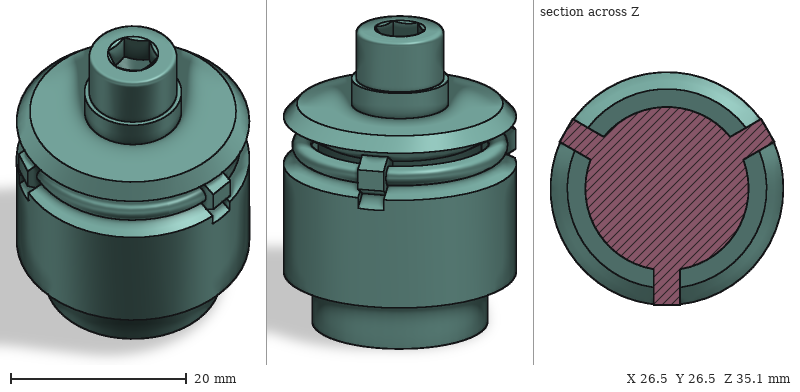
import cadquery as cq
import math

base_top = 6.0
groove_bottom = 20.0
groove_top = 22.25
flange_rim = 24.55
flange_top = 26.1
collar_top = 29.15
head_top = 35.1

base_radius = 10.0
body_diameter = 26.5
body_radius = body_diameter / 2
land_radius = 11.35
flange_top_radius = 11.72
collar_radius = 5.5
head_radius = 5.0
head_fillet = 0.6

slope = math.tan(math.radians(30))
core_radius = body_radius - (flange_rim - groove_top) / slope
body_rim = groove_bottom - (body_radius - land_radius) * slope

ring_height = (groove_bottom + groove_top) / 2
ring_wire_radius = 1.1
ring_outer_radius = 12.25

jaw_angles = [30, 150, 270]
jaw_width = 3.02
jaw_half_height = 1.15
jaw_inner_radius = 7.02
notch_outer_height = 17.62
notch_inner_radius = 10.53
notch_overrun = 0.7

socket_across_flats = 5.0
socket_depth = 3.0
socket_lead_in_angle = 30
socket_point_angle = 30


def turned_body():
    """Revolved outline of base, body, groove, flange, collar and screw head."""
    outline = (
        cq.Workplane("XZ")
        .moveTo(0, 0)
        .lineTo(base_radius, 0)
        .lineTo(base_radius, base_top)
        .lineTo(body_radius, base_top)
        .lineTo(body_radius, body_rim)
        .lineTo(land_radius, groove_bottom)
        .lineTo(core_radius, groove_bottom)
        .lineTo(core_radius, groove_top)
        .lineTo(body_radius, flange_rim)
        .lineTo(flange_top_radius, flange_top)
        .lineTo(collar_radius, flange_top)
        .lineTo(collar_radius, collar_top)
        .lineTo(head_radius, collar_top)
        .lineTo(head_radius, head_top)
        .lineTo(0, head_top)
        .close()
    )
    body = outline.revolve(360, (0, 0, 0), (0, 1, 0))
    return body.faces(">Z").edges().fillet(head_fillet)


def radial_bar(profile, angle):
    """Extrude a (radius, height) profile to the jaw width and turn it about Z."""
    bar = cq.Workplane("XZ").polyline(profile).close().extrude(jaw_width / 2, both=True)
    return bar.rotate((0, 0, 0), (0, 0, 1), angle)


def notch(angle):
    """Slot through the body rim whose floor rises inwards at the groove slope."""
    beyond_body = body_radius + notch_overrun
    floor_drop = notch_overrun * slope
    floor_rise = (body_radius - notch_inner_radius) * slope
    profile = [
        (notch_inner_radius, notch_outer_height + floor_rise),
        (beyond_body, notch_outer_height - floor_drop),
        (beyond_body, ring_height),
        (notch_inner_radius, ring_height),
    ]
    return radial_bar(profile, angle)


def jaw(angle):
    """Wedge with a flat outer face, growing taller inwards until buried in the groove walls."""
    inner_half_height = jaw_half_height + (body_radius - jaw_inner_radius) * slope
    profile = [
        (body_radius, ring_height - jaw_half_height),
        (body_radius, ring_height + jaw_half_height),
        (jaw_inner_radius, ring_height + inner_half_height),
        (jaw_inner_radius, ring_height - inner_half_height),
    ]
    return radial_bar(profile, angle)


def spring_ring():
    """Round-wire ring centred on the part axis."""
    ring_radius = ring_outer_radius - ring_wire_radius
    ring = cq.Solid.makeTorus(ring_radius, ring_wire_radius)
    return cq.Workplane(ring.translate(cq.Vector(0, 0, ring_height)))


def hex_socket():
    """Hexagon hole with a conical lead-in and a conical bottom reaching its corners."""
    corner_radius = socket_across_flats / math.sqrt(3)
    point_height = corner_radius * math.tan(math.radians(socket_point_angle))
    point_bottom = head_top - socket_depth - point_height
    hexagon = (
        cq.Workplane("XY", origin=(0, 0, point_bottom))
        .polygon(6, 2 * corner_radius)
        .extrude(head_top - point_bottom)
    )
    pointed_bore = (
        cq.Workplane("XZ")
        .moveTo(0, point_bottom)
        .lineTo(head_radius, point_bottom + head_radius * point_height / corner_radius)
        .lineTo(head_radius, head_top)
        .lineTo(0, head_top)
        .close()
        .revolve(360, (0, 0, 0), (0, 1, 0))
    )
    lead_in_height = corner_radius * math.tan(math.radians(socket_lead_in_angle))
    lead_in = cq.Solid.makeCone(
        corner_radius, 0, lead_in_height, cq.Vector(0, 0, head_top), cq.Vector(0, 0, -1)
    )
    return hexagon.intersect(pointed_bore).union(cq.Workplane(lead_in))


result = turned_body()
for jaw_angle in jaw_angles:
    result = result.cut(notch(jaw_angle))
for jaw_angle in jaw_angles:
    result = result.union(jaw(jaw_angle))
result = result.union(spring_ring()).cut(hex_socket())